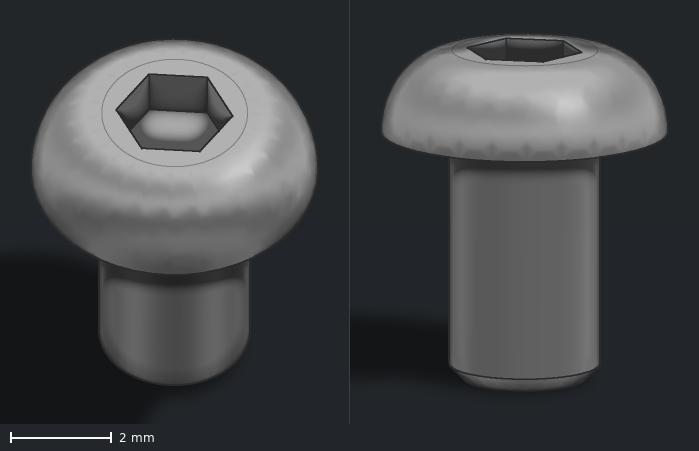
import cadquery as cq
import math

total_height = 6.65
head_diameter = 5.7
head_height = 1.65
crown_flat_diameter = 2.89

shank_diameter = 3.0
tip_chamfer = 0.3

socket_across_flats = 2.0
socket_depth = 1.04

shank_length = total_height - head_height


def make_shank():
    """Plain cylinder standing on Z = 0 with a chamfered tip."""
    shank = cq.Workplane("XY").circle(shank_diameter / 2).extrude(shank_length)
    return shank.faces("<Z").chamfer(tip_chamfer)


def make_head():
    """Button head: a quarter-ellipse flank rising to a flat circular crown."""
    rim_radius = head_diameter / 2
    flat_radius = crown_flat_diameter / 2
    return (
        cq.Workplane("XZ")
        .moveTo(0, shank_length)
        .lineTo(rim_radius, shank_length)
        .ellipseArc(
            rim_radius - flat_radius,
            head_height,
            0,
            90,
            startAtCurrent=True,
        )
        .lineTo(0, total_height)
        .close()
        .revolve(360, (0, 0, 0), (0, 1, 0))
    )


def make_socket():
    """Hexagonal recess with two corners on the X axis."""
    across_corners = socket_across_flats / math.cos(math.pi / 6)
    return (
        cq.Workplane("XY")
        .workplane(offset=total_height - socket_depth)
        .polygon(6, across_corners)
        .extrude(socket_depth)
    )


result = make_shank().union(make_head()).cut(make_socket())